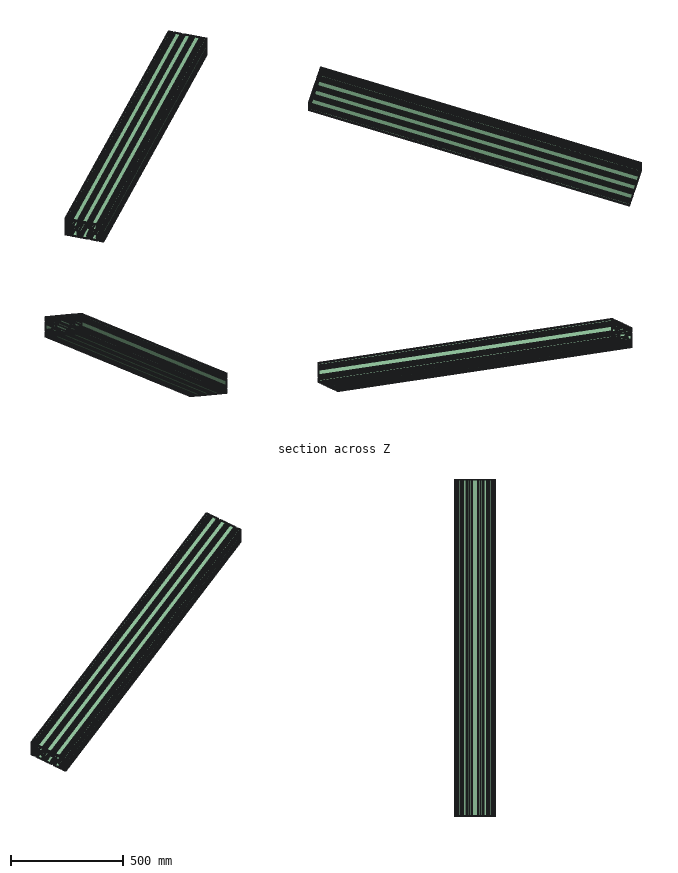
import cadquery as cq

WIDTH = 180.0
HEIGHT = 90.0
LENGTH = 1500.0
EDGE_RADIUS = 3.0

CELL = 45.0
HALF_CELL = CELL / 2
CELL_COLUMNS = [-1.5 * CELL, -0.5 * CELL, 0.5 * CELL, 1.5 * CELL]
CELL_ROWS = [-HALF_CELL, HALF_CELL]
HUB_COLUMNS = [-CELL, CELL]

MOUTH_HALF = 4.2
LIP_DEPTH = 4.25
UNDERCUT_HALF = 8.5
TAPER_DEPTH = 9.0
FLOOR_HALF = 5.0
FLOOR_DEPTH = 15.0
FLOOR_CHAMFER = 1.2

SKIN = 3.0
SHOULDER_HALF = 10.2
SHOULDER_DEPTH = 5.0
NECK_HALF = 6.8
NECK_DEPTH = 10.5
FLANGE_HALF = 11.0
FLANGE_TOP = 15.0
FLANGE_BOTTOM = 16.8
CORNER_POCKET = 12.0

CORE_HALF = 7.0
CORE_BORE = 7.0
HUB_HALF = 11.0
HUB_BORE = 13.52
WEB_OFFSET = 3.6

CORE_FACE = HALF_CELL - CORE_HALF


def prism(points):
    """Full-length prism over an XZ outline."""
    face = cq.Workplane("XZ").polyline(points).close()
    return face.extrude(LENGTH / 2, both=True)


def mirrored(points):
    """Close a half outline by mirroring it across its first coordinate."""
    return points + [(-across, along) for across, along in reversed(points)]


def from_top(points, column):
    """Place (across, depth) points at a column of the +Z face."""
    return [(column + across, HEIGHT / 2 - depth) for across, depth in points]


def from_side(points, row):
    """Place (across, depth) points at a row of the +X face."""
    return [(WIDTH / 2 - depth, row + across) for across, depth in points]


def slot_outline():
    return mirrored([
        (MOUTH_HALF, 0),
        (MOUTH_HALF, LIP_DEPTH),
        (UNDERCUT_HALF, LIP_DEPTH),
        (FLOOR_HALF, TAPER_DEPTH),
        (FLOOR_HALF, FLOOR_DEPTH - FLOOR_CHAMFER),
        (FLOOR_HALF - FLOOR_CHAMFER, FLOOR_DEPTH),
    ])


def slot_wall():
    """Chamber side of a slot wall, from the skin to the core; across is from the chamber centre."""
    return [
        (HALF_CELL - SHOULDER_HALF, SKIN),
        (HALF_CELL - SHOULDER_HALF, SHOULDER_DEPTH),
        (HALF_CELL - NECK_HALF, NECK_DEPTH),
        (HALF_CELL - NECK_HALF, FLANGE_TOP),
        (HALF_CELL - FLANGE_HALF, FLANGE_TOP),
        (HALF_CELL - FLANGE_HALF, FLANGE_BOTTOM),
        (CORE_FACE, FLANGE_BOTTOM),
    ]


def outer_chamber_outline():
    """Chamber between two slots, closed at its inner end by two webs and a hub face."""
    hub_depth = CELL
    return mirrored(slot_wall() + [
        (CORE_FACE, hub_depth - CORE_FACE - WEB_OFFSET),
        (HUB_HALF - WEB_OFFSET, hub_depth - HUB_HALF),
    ])


def middle_chamber_outline():
    """Large central chamber between the two hubs."""
    upper_right = from_top(slot_wall(), 0) + [
        (CORE_FACE, CORE_FACE),
        (CELL - CORE_FACE - WEB_OFFSET, CORE_FACE),
        (CELL - HUB_HALF, HUB_HALF - WEB_OFFSET),
    ]
    right = upper_right + [(x, -z) for x, z in reversed(upper_right)]
    return right + [(-x, z) for x, z in reversed(right)]


def both_faces(tool, plane):
    return tool.union(tool.mirror(plane))


def make_body():
    return cq.Workplane("XY").box(WIDTH, LENGTH, HEIGHT).edges("|Y").fillet(EDGE_RADIUS)


def cut_slots(body):
    for column in CELL_COLUMNS:
        body = body.cut(both_faces(prism(from_top(slot_outline(), column)), "XY"))
    for row in CELL_ROWS:
        body = body.cut(both_faces(prism(from_side(slot_outline(), row)), "YZ"))
    return body


def cut_chambers(body):
    for column in HUB_COLUMNS:
        body = body.cut(both_faces(prism(from_top(outer_chamber_outline(), column)), "XY"))
    body = body.cut(both_faces(prism(from_side(outer_chamber_outline(), 0)), "YZ"))
    return body.cut(prism(middle_chamber_outline()))


def cut_corner_pockets(body):
    side = CORNER_POCKET - SKIN
    centre = (SKIN + CORNER_POCKET) / 2
    spacing_x = WIDTH - 2 * centre
    spacing_z = HEIGHT - 2 * centre
    pockets = cq.Workplane("XZ").rarray(spacing_x, spacing_z, 2, 2).rect(side, side)
    return body.cut(pockets.extrude(LENGTH / 2, both=True))


def cut_bores(body):
    cores = [(x, z) for x in CELL_COLUMNS for z in CELL_ROWS]
    hubs = [(x, 0) for x in HUB_COLUMNS]
    for centres, diameter in ((cores, CORE_BORE), (hubs, HUB_BORE)):
        bores = cq.Workplane("XZ").pushPoints(centres).circle(diameter / 2)
        body = body.cut(bores.extrude(LENGTH / 2, both=True))
    return body


result = cut_bores(cut_corner_pockets(cut_chambers(cut_slots(make_body()))))